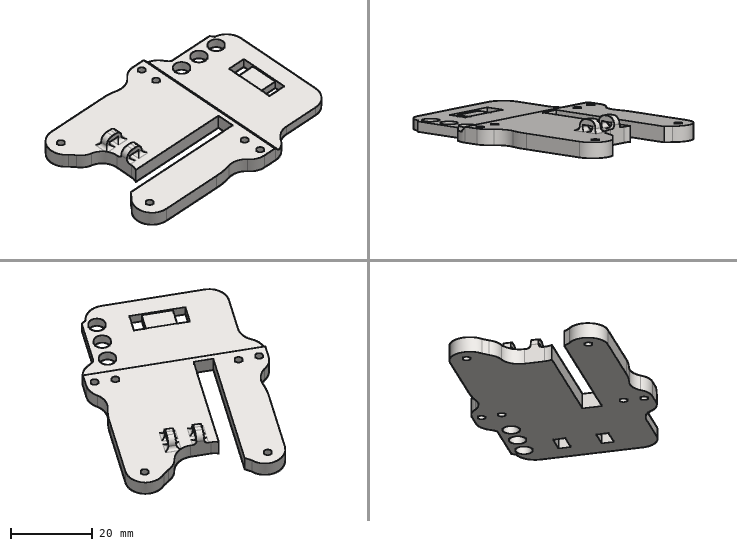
import cadquery as cq
import math

length = 63.6
half_width = 46.0 / 2
thick = 4.0
thin = 2.6
slope_start = 39.7
slope_end = slope_start + thick - thin
corner_r = 5.0

head_half_width = 18.05
leg_half_width = 20.1
shoulder_top = 39.9
shoulder_bottom = 36.2
leg_straight_top = 22.25
waist_entry = (21.05, 32.1)
waist_exit = (19.5, 27.2)
waist_blend_r = 17.0
leg_tip_x = 11.1

flare_width = half_width - head_half_width
flare_angle = math.acos(1 - flare_width / (2 * corner_r))
flare_half_height = corner_r * math.sin(flare_angle)
flare_mid = (half_width - flare_width / 2, shoulder_top + flare_half_height)
flare_top = shoulder_top + 2 * flare_half_height

notch_y = 10.25
notch_half_width = 2.55
notch_left_end = (-7.45, 6.3)
left_leg_shoulder = (-9.65, 3.2)
slot_left = 4.6
slot_right = 9.55
slot_top = 38.35
right_leg_inner_y = 3.1

strip_x = -19.1
strip_bottom = 44.1
strip_top = 58.6
strip_lead = 1.2
strip_rise = 0.9

small_d = 2.0
leg_hole_x = 15.5
leg_hole_ys = (3.75, 36.6)
ear_hole = (20.7, 36.8)
large_d = 4.3
large_hole_y = 45.45
large_hole_pitch = 6.0
large_hole_count = 3

window_width = 14.1
window_bottom = 53.55
window_top = 58.6
bar_width = 7.9
bar_height = 2.15

loop_xs = (-7.05, 0.0)
loop_y = 12.8
loop_width = 2.0
loop_outer = 2.55
loop_inner = 1.5
foot_flare = 1.0
foot_top = thick + foot_flare
opening_top = 5.5
loop_top = 7.0


def plate_outline():
    """Closed outline of the plate, counterclockwise from the right leg tip."""
    leg_center_x = leg_half_width - corner_r
    tip_y = corner_r - math.sqrt(corner_r**2 - (leg_center_x - leg_tip_x) ** 2)
    slot_corner_y = notch_y - corner_r + math.sqrt(corner_r**2 - (slot_left - notch_half_width) ** 2)
    head_corner_x = head_half_width - corner_r
    return (
        cq.Workplane("XY")
        .moveTo(leg_tip_x, tip_y)
        .threePointArc((leg_center_x, 0), (leg_half_width, corner_r))
        .lineTo(leg_half_width, leg_straight_top)
        .radiusArc(waist_exit, -waist_blend_r)
        .radiusArc(waist_entry, corner_r)
        .radiusArc((half_width, shoulder_bottom), -corner_r)
        .lineTo(half_width, shoulder_top)
        .radiusArc(flare_mid, -corner_r)
        .radiusArc((head_half_width, flare_top), corner_r)
        .lineTo(head_half_width, length - corner_r)
        .radiusArc((head_corner_x, length), -corner_r)
        .lineTo(-head_corner_x, length)
        .radiusArc((-head_half_width, length - corner_r), -corner_r)
        .lineTo(-head_half_width, flare_top)
        .radiusArc((-flare_mid[0], flare_mid[1]), corner_r)
        .radiusArc((-half_width, shoulder_top), -corner_r)
        .lineTo(-half_width, shoulder_bottom)
        .radiusArc((-waist_entry[0], waist_entry[1]), -corner_r)
        .radiusArc((-waist_exit[0], waist_exit[1]), corner_r)
        .radiusArc((-leg_half_width, leg_straight_top), -waist_blend_r)
        .lineTo(-leg_half_width, corner_r)
        .threePointArc((-leg_center_x, 0), (-leg_tip_x, tip_y))
        .lineTo(*left_leg_shoulder)
        .radiusArc(notch_left_end, -corner_r)
        .radiusArc((-notch_half_width, notch_y), corner_r)
        .lineTo(notch_half_width, notch_y)
        .radiusArc((slot_left, slot_corner_y), corner_r)
        .lineTo(slot_left, slot_top)
        .lineTo(slot_right, slot_top)
        .lineTo(slot_right, right_leg_inner_y)
        .close()
    )


def edge_strip():
    """Strip that widens the left edge beside the large holes."""
    inner_x = -head_half_width + corner_r / 2
    corners = [
        (inner_x, strip_bottom),
        (strip_x, strip_bottom),
        (strip_x, strip_top),
        (strip_x + strip_lead, strip_top + strip_rise),
        (inner_x, strip_top),
    ]
    return cq.Workplane("XY").polyline(corners).close().extrude(thin)


def stepped_plate():
    """Plate with its upper half thinned behind a 45 degree slope."""
    side = [(0, 0), (length, 0), (length, thin), (slope_end, thin), (slope_start, thick), (0, thick)]
    envelope = cq.Workplane("YZ").polyline(side).close().extrude(half_width, both=True)
    return plate_outline().extrude(thick).intersect(envelope).union(edge_strip())


def holes():
    small = [(side * leg_hole_x, y) for side in (-1, 1) for y in leg_hole_ys]
    small += [(side * ear_hole[0], ear_hole[1]) for side in (-1, 1)]
    large = [(-leg_hole_x, large_hole_y + i * large_hole_pitch) for i in range(large_hole_count)]
    cutters = cq.Workplane("XY").pushPoints(small).circle(small_d / 2).extrude(thick)
    return cutters.union(cq.Workplane("XY").pushPoints(large).circle(large_d / 2).extrude(thin))


def window_block(width, height):
    depth = window_top - window_bottom
    center_y = (window_top + window_bottom) / 2
    return cq.Workplane("XY").center(0, center_y).rect(width, depth).extrude(height)


def flared_profile(plane, half_length):
    """Foot profile centred on the plane origin, with concave flares at its base."""
    base = half_length + foot_flare
    bend = foot_flare * (1 - math.sqrt(0.5))
    return (
        cq.Workplane(plane)
        .moveTo(-base, thick)
        .threePointArc((-half_length - bend, thick + bend), (-half_length, foot_top))
        .lineTo(half_length, foot_top)
        .threePointArc((half_length + bend, thick + bend), (base, thick))
        .close()
        .extrude(loop_width + loop_outer, both=True)
    )


def foot():
    """Foot flared on all four sides with mitred corners."""
    return flared_profile("XZ", loop_width / 2).intersect(
        flared_profile("YZ", (loop_outer - loop_inner) / 2)
    )


def wire_loop():
    """Arched loop on two flared feet, centred on the origin in X and Y."""
    arch_r = loop_top - foot_top
    crown = loop_outer - arch_r
    arch = (
        cq.Workplane("YZ", origin=(-loop_width / 2, 0, 0))
        .moveTo(loop_outer, foot_top)
        .radiusArc((crown, loop_top), -arch_r)
        .lineTo(-crown, loop_top)
        .radiusArc((-loop_outer, foot_top), -arch_r)
        .close()
        .extrude(loop_width)
    )
    opening_height = opening_top - foot_top
    opening = (
        cq.Workplane("XY", origin=(0, 0, foot_top))
        .rect(loop_width, 2 * loop_inner)
        .extrude(opening_height)
    )
    loop = arch.cut(opening)
    foot_y = (loop_outer + loop_inner) / 2
    for side in (-1, 1):
        loop = loop.union(foot().translate((0, side * foot_y, 0)))
    return loop


result = stepped_plate().cut(holes())
result = result.cut(window_block(window_width, thin))
result = result.union(window_block(bar_width, bar_height))

loop_limit = plate_outline().extrude(loop_top)
for x in loop_xs:
    result = result.union(wire_loop().translate((x, loop_y, 0)).intersect(loop_limit))